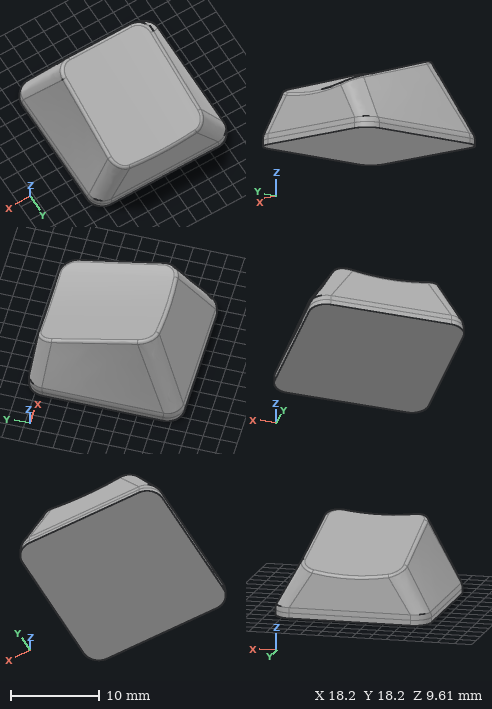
import cadquery as cq
import math

base_size = 18.16
skirt_height = 0.67
corner_radius = 2.0

shoulder_height = 0.62
front_inset = 0.15
back_inset = 0.02
side_inset = 0.14

tilt = math.radians(16.1)
rim_height = 8.93
rim_half_width = 5.79
rim_front_y = -4.87
rim_back_y = 8.64

dish_radius = 25.0
dish_depth = 1.12
dish_length = 4 * base_size
rim_fillet = 0.4

half_base = base_size / 2
rim_plane = cq.Plane(
    origin=(0, 0, rim_height),
    xDir=(1, 0, 0),
    normal=(0, math.sin(tilt), math.cos(tilt)),
)


def rounded_outline(plane, half_width, front, back, radius):
    """Closed wire with four equal corner arcs; front and back are local Y values of the plane."""
    sharp = cq.Workplane(plane).center(0, (front + back) / 2).rect(2 * half_width, back - front).val()
    return sharp.fillet2D(radius, sharp.Vertices())


def shoulder_outline(fraction):
    """Horizontal section at a fraction of the shoulder height; the inset grows parabolically."""
    bend = fraction**2
    return rounded_outline(
        cq.Plane.XY(origin=(0, 0, skirt_height + fraction * shoulder_height)),
        half_base - bend * side_inset,
        -half_base + bend * front_inset,
        half_base - bend * back_inset,
        corner_radius - bend * side_inset,
    )


def rim_outline():
    return rounded_outline(
        rim_plane,
        rim_half_width,
        rim_front_y / math.cos(tilt),
        rim_back_y / math.cos(tilt),
        corner_radius,
    )


def make_skirt():
    foot = cq.Workplane("XY").rect(base_size, base_size).extrude(skirt_height)
    return foot.edges("|Z").fillet(corner_radius)


def make_shoulder():
    sections = [shoulder_outline(fraction) for fraction in (0, 0.5, 1)]
    return cq.Workplane(cq.Solid.makeLoft(sections))


def make_walls():
    """Straight-ruled walls from the top of the shoulder to the tilted rim plane."""
    return cq.Workplane(cq.Solid.makeLoft([shoulder_outline(1), rim_outline()], ruled=True))


def make_dish():
    start = rim_plane.toWorldCoords((0, -dish_length / 2, dish_radius - dish_depth))
    return cq.Workplane(cq.Solid.makeCylinder(dish_radius, dish_length, start, rim_plane.yDir))


def make_top():
    """Walls hollowed by the finger dish, with the rim around the dish rounded."""
    dished = make_walls().cut(make_dish())
    return dished.faces("%CYLINDER").edges().fillet(rim_fillet)


result = make_skirt().union(make_shoulder()).union(make_top())